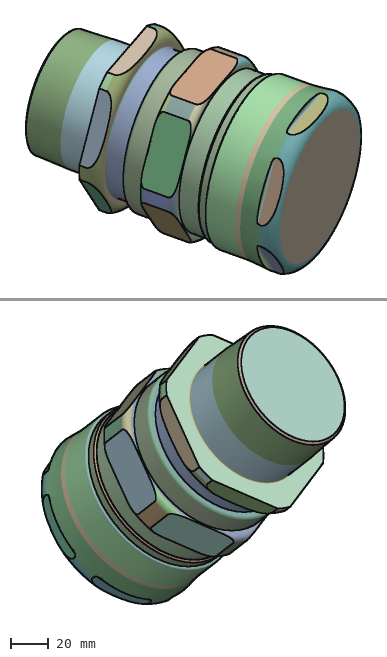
import cadquery as cq
import math

LENGTH = 159.1

HEX_ACROSS_FLATS = 94.5
HEX_CORNER_DIAMETER = 103.9
HEX_SIDE = HEX_ACROSS_FLATS / math.sqrt(3)

STUB_FACE_DIAMETER = 68.3
STUB_NOSE_DIAMETER = 71.3
STUB_DIAMETER = 73.0
STUB_CHAMFER_LENGTH = 1.1
TAPER_END_X = 22.5
ENTRY_HEX_START_X = 42.3
ENTRY_HEX_END_X = 52.8
ENTRY_HEX_ROUNDING = 6.4
STUB_ROOT_FILLET = 0.5
NECK_DIAMETER = 84.3
NECK_ROOT_FILLET = 0.8

GLAND_START_X = 65.1
COLLAR_DIAMETER = 92.8
COLLAR_FILLET = 1.9
GLAND_HEX_START_X = 78.1
GLAND_HEX_END_X = 99.6
GLAND_HEX_ROUNDING = 3.5
REAR_DIAMETER = 92.5

RING_START_X = 111.4
RING_DIAMETER = 95.0
RING_CHAMFER = 1.1

NUT_START_X = 117.0
NUT_DIAMETER = 98.8
NUT_FRONT_FILLET = 1.1
FLARE_START_X = 136.9
FLARE_ANGLE = 6
FLARE_BLEND_RADIUS = 31.8
NUT_END_FILLET = 7.8
FLATS_START_X = 148.8
FLAT_ROOT_FILLET = 1.0


def cylinder(start_x, end_x, diameter):
    """Solid cylinder about the X axis."""
    return cq.Workplane("YZ", origin=(start_x, 0, 0)).circle(diameter / 2).extrude(end_x - start_x)


def turned(profile):
    """Revolve a list of (x, radius) points, closed along the X axis."""
    start_x = profile[0][0]
    end_x = profile[-1][0]
    outline = [(start_x, 0), *profile, (end_x, 0)]
    return cq.Workplane("XY").polyline(outline).close().revolve(360, (0, 0, 0), (1, 0, 0))


def rounded_hexagon(start_x, end_x, rounding, rounded_ends):
    """Hexagon with flats facing +Z and -Z, its corners turned round and its ends rounded."""
    corner_to_corner = 2 * HEX_SIDE
    prism = (
        cq.Workplane("YZ", origin=(start_x, 0, 0))
        .polygon(6, corner_to_corner)
        .extrude(end_x - start_x)
    )
    envelope = cylinder(start_x, end_x, HEX_CORNER_DIAMETER)
    for end in rounded_ends:
        envelope = envelope.faces(end).edges().fillet(rounding)
    return prism.intersect(envelope)


def make_entry_body():
    stub = turned([
        (0, STUB_FACE_DIAMETER / 2),
        (STUB_CHAMFER_LENGTH, STUB_NOSE_DIAMETER / 2),
        (TAPER_END_X, STUB_DIAMETER / 2),
        (ENTRY_HEX_START_X, STUB_DIAMETER / 2),
    ])
    hexagon = rounded_hexagon(ENTRY_HEX_START_X, ENTRY_HEX_END_X, ENTRY_HEX_ROUNDING, [">X"])
    neck = cylinder(ENTRY_HEX_END_X, GLAND_START_X, NECK_DIAMETER)
    body = stub.union(hexagon).union(neck)
    stub_root = cq.selectors.NearestToPointSelector((ENTRY_HEX_START_X, 0, 0))
    neck_root = cq.selectors.NearestToPointSelector((ENTRY_HEX_END_X, 0, 0))
    body = body.edges("%CIRCLE").edges(stub_root).fillet(STUB_ROOT_FILLET)
    return body.edges("%CIRCLE").edges(neck_root).fillet(NECK_ROOT_FILLET)


def make_gland_body():
    collar = cylinder(GLAND_START_X, GLAND_HEX_START_X, COLLAR_DIAMETER)
    collar = collar.faces("<X").edges().fillet(COLLAR_FILLET)
    hexagon = rounded_hexagon(
        GLAND_HEX_START_X, GLAND_HEX_END_X, GLAND_HEX_ROUNDING, ["<X", ">X"]
    )
    rear = cylinder(GLAND_HEX_END_X, NUT_START_X, REAR_DIAMETER)
    return collar.union(hexagon).union(rear)


def make_sealing_ring():
    ring = cylinder(RING_START_X, NUT_START_X, RING_DIAMETER)
    ring = ring.faces("<X").edges().chamfer(RING_CHAMFER)
    return ring.cut(cylinder(RING_START_X, NUT_START_X, REAR_DIAMETER))


def make_flat_cutter():
    """Block above the +Z flat of the back nut, with a rounded root at its front."""
    block_length = LENGTH - FLATS_START_X
    block_height = (HEX_CORNER_DIAMETER - HEX_ACROSS_FLATS) / 2
    block = cq.Workplane("XY").box(block_length, HEX_SIDE, block_height, centered=(False, True, False))
    block = block.edges("<X and <Z").fillet(FLAT_ROOT_FILLET)
    return block.translate((FLATS_START_X, 0, HEX_ACROSS_FLATS / 2))


def make_back_nut():
    nut_radius = NUT_DIAMETER / 2
    flare_rise = (LENGTH - FLARE_START_X) * math.tan(math.radians(FLARE_ANGLE))
    nut = turned([
        (NUT_START_X, nut_radius),
        (FLARE_START_X, nut_radius),
        (LENGTH, nut_radius + flare_rise),
    ])
    flare_edge = cq.selectors.NearestToPointSelector((FLARE_START_X, 0, 0))
    nut = nut.edges("%CIRCLE").edges(flare_edge).fillet(FLARE_BLEND_RADIUS)
    nut = nut.faces("<X").edges().fillet(NUT_FRONT_FILLET)
    nut = nut.faces(">X").edges().fillet(NUT_END_FILLET)
    flat_cutter = make_flat_cutter()
    for flat in range(6):
        nut = nut.cut(flat_cutter.rotate((0, 0, 0), (1, 0, 0), 60 * flat))
    return nut


entry_body = make_entry_body()
gland_body = make_gland_body()
sealing_ring = make_sealing_ring()
back_nut = make_back_nut()

result = cq.Compound.makeCompound([
    *entry_body.solids().vals(),
    *gland_body.solids().vals(),
    *sealing_ring.solids().vals(),
    *back_nut.solids().vals(),
])